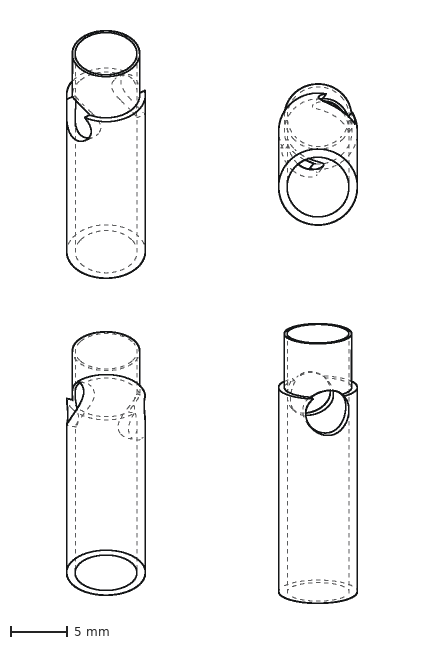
import cadquery as cq

total_length = 24.0
neck_length = 5.0
body_diameter = 7.0
neck_diameter = 6.0
bore_diameter = 5.5
cross_hole_diameter = 4.0
cross_hole_height = 17.6

body_length = total_length - neck_length

body = cq.Workplane("XY").circle(body_diameter / 2).extrude(body_length)
neck = (
    cq.Workplane("XY")
    .workplane(offset=body_length)
    .circle(neck_diameter / 2)
    .extrude(neck_length)
)

bore = cq.Workplane("XY").circle(bore_diameter / 2).extrude(total_length)

cross_hole = (
    cq.Workplane("XZ")
    .center(0, cross_hole_height)
    .circle(cross_hole_diameter / 2)
    .extrude(body_diameter, both=True)
)

result = body.union(neck).cut(bore).cut(cross_hole)